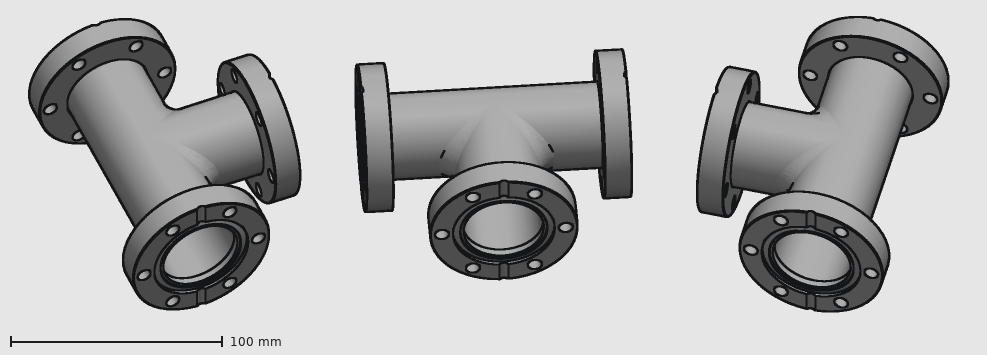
import cadquery as cq
import math


TOTAL_LENGTH = 126.0
FACE_DISTANCE = TOTAL_LENGTH / 2

TUBE_OUTER_DIAMETER = 41.0
BORE_DIAMETER = 38.0
TUBE_RADIUS = TUBE_OUTER_DIAMETER / 2
BORE_RADIUS = BORE_DIAMETER / 2

FLANGE_DIAMETER = 70.0
FLANGE_THICKNESS = 13.0
EDGE_CHAMFER = 0.4
SOCKET_DIAMETER = 41.5
LIP_THICKNESS = 3.8

RECESS_DIAMETER = 48.3
RECESS_DEPTH = 1.9
KNIFE_EDGE_DIAMETER = SOCKET_DIAMETER
KNIFE_EDGE_DEPTH = 0.6
LEDGE_DIAMETER = TUBE_OUTER_DIAMETER
LEDGE_DEPTH = 1.3

BOLT_COUNT = 6
BOLT_CIRCLE_DIAMETER = 58.7
BOLT_HOLE_DIAMETER = 6.7
GROOVE_WIDTH = 4.3
GROOVE_DEPTH = 1.1

BLEND_RADIUS = 8.1
BLEND_SINK = 0.003
BLEND_INSET = 0.04
BLEND_END_ANGLE = 86.0
BLEND_STEPS = 6

SOCKET_FLOOR_DEPTH = LEDGE_DEPTH + LIP_THICKNESS
TUBE_REACH = FACE_DISTANCE - SOCKET_FLOOR_DEPTH

RUN_START = cq.Plane(origin=(-TUBE_REACH, 0, 0), xDir=(0, 1, 0), normal=(1, 0, 0))
BRANCH_START = cq.Plane(origin=(0, 0, 0), xDir=(1, 0, 0), normal=(0, 1, 0))


def tee_cylinders(radius):
    """Run and branch cylinders of one radius, joined."""
    run = cq.Workplane(RUN_START).circle(radius).extrude(2 * TUBE_REACH)
    branch = cq.Workplane(BRANCH_START).circle(radius).extrude(TUBE_REACH)
    return run.union(branch)


def blend_section(angle):
    """Horizontal section of the blend at one angle around the tube."""
    half_width = TUBE_RADIUS * math.cos(angle)
    height = TUBE_RADIUS * math.sin(angle)
    radius = BLEND_RADIUS * math.cos(angle)
    buried = half_width * (1 - BLEND_INSET)
    arc_end = half_width * (1 - BLEND_SINK)
    outer = arc_end + radius
    arc_middle = outer - radius * math.sqrt(0.5)
    return (
        cq.Workplane("XY", origin=(0, 0, height))
        .moveTo(buried, buried)
        .lineTo(outer, buried)
        .lineTo(outer, arc_end)
        .threePointArc((arc_middle, arc_middle), (arc_end, outer))
        .lineTo(buried, outer)
        .close()
        .val()
    )


def make_blend():
    """Concave corner blend whose radius shrinks toward the top and bottom."""
    angle_step = math.radians(BLEND_END_ANGLE) / BLEND_STEPS
    sections = [blend_section(i * angle_step) for i in range(-BLEND_STEPS, BLEND_STEPS + 1)]
    return cq.Workplane(cq.Solid.makeLoft(sections))


def make_tee_tube():
    blend = make_blend()
    outside = tee_cylinders(TUBE_RADIUS).union(blend).union(blend.mirror("YZ"))
    return outside.cut(tee_cylinders(BORE_RADIUS))


def make_flange_blank():
    """Turned flange with its sealing face at Z = 0 and its back toward +Z."""
    outer_radius = FLANGE_DIAMETER / 2
    socket_radius = SOCKET_DIAMETER / 2
    profile = [
        (RECESS_DIAMETER / 2, 0),
        (outer_radius - EDGE_CHAMFER, 0),
        (outer_radius, EDGE_CHAMFER),
        (outer_radius, FLANGE_THICKNESS - EDGE_CHAMFER),
        (outer_radius - EDGE_CHAMFER, FLANGE_THICKNESS),
        (socket_radius, FLANGE_THICKNESS),
        (socket_radius, SOCKET_FLOOR_DEPTH),
        (BORE_RADIUS, SOCKET_FLOOR_DEPTH),
        (BORE_RADIUS, LEDGE_DEPTH),
        (LEDGE_DIAMETER / 2, LEDGE_DEPTH),
        (KNIFE_EDGE_DIAMETER / 2, KNIFE_EDGE_DEPTH),
        (RECESS_DIAMETER / 2, RECESS_DEPTH),
    ]
    return cq.Workplane("XZ").polyline(profile).close().revolve(360, (0, 0, 0), (0, 1, 0))


def make_bolt_holes():
    return (
        cq.Workplane("XY")
        .polarArray(BOLT_CIRCLE_DIAMETER / 2, 0, 360, BOLT_COUNT)
        .circle(BOLT_HOLE_DIAMETER / 2)
        .extrude(FLANGE_THICKNESS)
    )


def make_groove(side):
    """Round-bottomed radial groove from the recess to the rim, on the +Y or -Y side."""
    radius = ((GROOVE_WIDTH / 2) ** 2 + GROOVE_DEPTH**2) / (2 * GROOVE_DEPTH)
    start = math.sqrt((RECESS_DIAMETER / 2) ** 2 - (GROOVE_WIDTH / 2) ** 2)
    length = FLANGE_DIAMETER / 2 - start
    axis_height = GROOVE_DEPTH - radius
    cylinder = cq.Solid.makeCylinder(
        radius, length, cq.Vector(0, side * start, axis_height), cq.Vector(0, side, 0)
    )
    return cq.Workplane(cylinder)


def make_flange(outward):
    """Flange on the port that faces the given horizontal direction."""
    flange = make_flange_blank().cut(make_bolt_holes())
    for side in (-1, 1):
        flange = flange.cut(make_groove(side))
    outward = cq.Vector(*outward)
    inward = outward * -1
    port = cq.Plane(origin=outward * FACE_DISTANCE, xDir=cq.Vector(0, 0, 1).cross(inward), normal=inward)
    return flange.val().moved(cq.Location(port))


PORT_DIRECTIONS = [(-1, 0, 0), (1, 0, 0), (0, 1, 0)]

tee_tube = make_tee_tube()
flanges = [make_flange(direction) for direction in PORT_DIRECTIONS]

result = cq.Compound.makeCompound([tee_tube.val(), *flanges])